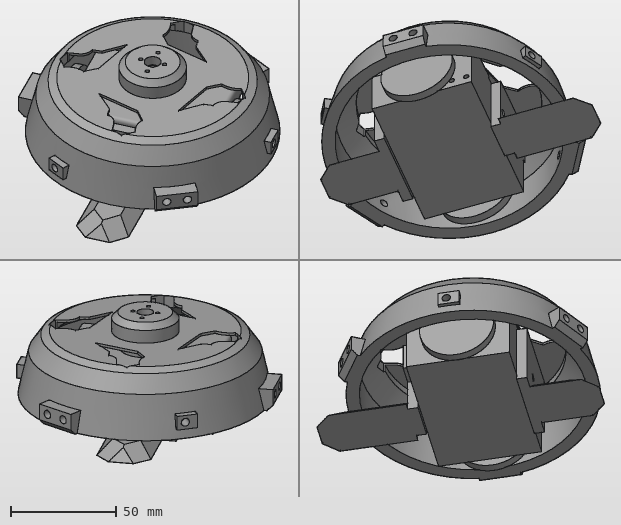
import cadquery as cq
import math


rim_radius, shoulder_radius, crown_radius, top_radius = 60.4, 55.4, 49.6, 45.5
shoulder_z, crown_z, shell_top_z = 21.7, 30.0, 32.0
mouth_radius, ceiling_radius = 108.0 / 2, 44.0
mouth_wall_top_z = 19.5
ceiling_wall_bottom_z = 27.0
ceiling_z = 30.7

hub_diameter = 32.0
hub_top_z = 41.5
hub_chamfer = 3.0
hub_bore = 8.0
bolt_hole = 2.0
bolt_offset_x, bolt_offset_y = 6.0, 7.6

tooth_root_radius = 46.0
tooth_hole = 4.0

big_tooth_angles = (60, 180, 300)
big_tooth_face = 64.0
big_tooth_width = 20.0
big_tooth_height = 11.0
big_tooth_chamfer = 3.0
big_tooth_hole_offset = 5.0
big_tooth_hole_z = 7.0

small_tooth_angles = (0, 120, 240)
small_tooth_face = 61.0
small_tooth_width = 10.2
small_tooth_shift = 1.0
small_tooth_bottom_z, small_tooth_top_z = 5.0, 12.0

motor_diameter = 24.0
motor_top_z = 36.5
shaft_diameter = 2.0
shaft_top_z = 39.5
shaft_chamfer = 0.6

chassis_half_depth = 25.0
box_left_x, box_right_x = -38.0, 35.0
box_bottom_z, box_top_z = -8.0, 15.0
lid_half_width = 36.5
lid_top_z = 23.0
lid_round = 2.0
lid_scoop_half_length = 13.6
side_hole = 2.5
side_hole_depth = 8.0
side_hole_z = -3.3
side_hole_ys = (-15.2, -22.4)

wheel_diameter = 36.0
wheel_width = 4.0
wheel_inner_x = 38.5
wheel_y, wheel_z = 1.0, 6.5
axle_diameter = 2.0
axle_inner_x = 30.0

fork_center_x = -1.2
fork_bottom_z = -11.0
foot_width, foot_tip_width = 26.3, 12.2
foot_height = 6.5
plate_thickness = 5.0
plate_top_z = 20.2
plate_hole = 3.5
plate_hole_offset = 6.0
plate_hole_z = 1.0
front_ear_reach = 20.0
front_ear_bottom_z = 6.0
front_plate_width, rear_plate_width = 19.4, 40.0
front_fork_tip, rear_fork_tip = 74.8, 62.1


def cylinder_along_x(diameter, start_x, end_x, y, z):
    """Solid cylinder parallel to X."""
    return (
        cq.Workplane("YZ", origin=(start_x, 0, 0))
        .center(y, z)
        .circle(diameter / 2)
        .extrude(end_x - start_x)
    )


def cylinder_along_z(diameter, bottom_z, top_z):
    """Solid cylinder on the spin axis."""
    return cq.Workplane("XY", origin=(0, 0, bottom_z)).circle(diameter / 2).extrude(top_z - bottom_z)


def box_between(x0, x1, y0, y1, z0, z1):
    """Box given by its limits along each axis."""
    return cq.Workplane("XY").box(x1 - x0, y1 - y0, z1 - z0, centered=False).translate((x0, y0, z0))


def make_big_tooth():
    """Impact tooth at angle zero, beveled along its lower outer edge."""
    return (
        cq.Workplane("XZ")
        .moveTo(tooth_root_radius, 0)
        .lineTo(big_tooth_face - big_tooth_chamfer, 0)
        .lineTo(big_tooth_face, big_tooth_chamfer)
        .lineTo(big_tooth_face, big_tooth_height)
        .lineTo(tooth_root_radius, big_tooth_height)
        .close()
        .extrude(big_tooth_width / 2, both=True)
    )


def make_small_tooth():
    """Counterweight tooth at angle zero, set slightly off its screw hole."""
    return box_between(
        tooth_root_radius,
        small_tooth_face,
        small_tooth_shift - small_tooth_width / 2,
        small_tooth_shift + small_tooth_width / 2,
        small_tooth_bottom_z,
        small_tooth_top_z,
    )


def make_window():
    """Jagged window through the shell top, cut on the +X side."""
    return (
        cq.Workplane("XY", origin=(0, 0, mouth_wall_top_z))
        .moveTo(20.0, -20.0)
        .lineTo(26.5, 1.8)
        .lineTo(32.5, 6.4)
        .threePointArc((37.0, 5.2), (42.3, 6.2))
        .lineTo(46.4, 0.8)
        .lineTo(44.5, -4.6)
        .lineTo(38.5, -5.8)
        .threePointArc((35.6, -7.7), (34.2, -10.7))
        .lineTo(29.6, -11.2)
        .close()
        .extrude(shell_top_z - mouth_wall_top_z)
    )


def make_shell():
    dome = (
        cq.Workplane("XZ")
        .polyline([
            (0, 0),
            (rim_radius, 0),
            (shoulder_radius, shoulder_z),
            (crown_radius, crown_z),
            (top_radius, shell_top_z),
            (0, shell_top_z),
        ])
        .close()
        .revolve(360, (0, 0, 0), (0, 1, 0))
    )
    hub = cylinder_along_z(hub_diameter, ceiling_z, hub_top_z).faces(">Z").chamfer(hub_chamfer)
    cavity = (
        cq.Workplane("XZ")
        .polyline([
            (0, 0),
            (mouth_radius, 0),
            (mouth_radius, mouth_wall_top_z),
            (ceiling_radius, ceiling_wall_bottom_z),
            (ceiling_radius, ceiling_z),
            (0, ceiling_z),
        ])
        .close()
        .revolve(360, (0, 0, 0), (0, 1, 0))
    )
    shell = dome.union(hub)

    for angle in big_tooth_angles:
        shell = shell.union(make_big_tooth().rotate((0, 0, 0), (0, 0, 1), angle))
    for angle in small_tooth_angles:
        shell = shell.union(make_small_tooth().rotate((0, 0, 0), (0, 0, 1), angle))
    shell = shell.cut(cavity)

    for angle in big_tooth_angles:
        for y in (-big_tooth_hole_offset, big_tooth_hole_offset):
            hole = cylinder_along_x(tooth_hole, tooth_root_radius, big_tooth_face, y, big_tooth_hole_z)
            shell = shell.cut(hole.rotate((0, 0, 0), (0, 0, 1), angle))
    small_tooth_hole_z = (small_tooth_bottom_z + small_tooth_top_z) / 2
    for angle in small_tooth_angles:
        hole = cylinder_along_x(tooth_hole, tooth_root_radius, small_tooth_face, 0, small_tooth_hole_z)
        shell = shell.cut(hole.rotate((0, 0, 0), (0, 0, 1), angle))

    for quarter in range(4):
        shell = shell.cut(make_window().rotate((0, 0, 0), (0, 0, 1), 90 * quarter))

    pocket = cylinder_along_z(motor_diameter, ceiling_z, motor_top_z)
    bore = cylinder_along_z(hub_bore, motor_top_z, hub_top_z)
    bolt_holes = (
        cq.Workplane("XY", origin=(0, 0, motor_top_z))
        .pushPoints([(bolt_offset_x, 0), (-bolt_offset_x, 0), (0, bolt_offset_y), (0, -bolt_offset_y)])
        .circle(bolt_hole / 2)
        .extrude(hub_top_z - motor_top_z)
    )
    return shell.cut(pocket).cut(bore).cut(bolt_holes)


def make_motor():
    """Motor can standing on the lid, with its shaft tip inside the hub bore."""
    can = cylinder_along_z(motor_diameter, lid_top_z, motor_top_z)
    shaft = cylinder_along_z(shaft_diameter, motor_top_z, shaft_top_z).faces(">Z").chamfer(shaft_chamfer)
    return can.union(shaft)


def make_edge_round(side):
    """Waste that rounds the middle of the lid edge on the -Y (side -1) or +Y (side +1) side."""
    edge_y = side * chassis_half_depth
    bar = box_between(
        -lid_scoop_half_length,
        lid_scoop_half_length,
        min(edge_y, edge_y - side * lid_round),
        max(edge_y, edge_y - side * lid_round),
        lid_top_z - lid_round,
        lid_top_z,
    )
    core = cylinder_along_x(
        2 * lid_round,
        -lid_scoop_half_length,
        lid_scoop_half_length,
        edge_y - side * lid_round,
        lid_top_z - lid_round,
    )
    return bar.cut(core)


def make_chassis():
    box = box_between(
        box_left_x, box_right_x, -chassis_half_depth, chassis_half_depth, box_bottom_z, box_top_z
    )
    lid = box_between(
        -lid_half_width, lid_half_width, -chassis_half_depth, chassis_half_depth, box_top_z, lid_top_z
    )
    lid = lid.edges("|Y and >Z").fillet(lid_round)
    for side in (-1, 1):
        lid = lid.cut(make_edge_round(side))
    chassis = box.union(lid)
    for y in side_hole_ys:
        chassis = chassis.cut(
            cylinder_along_x(side_hole, box_left_x, box_left_x + side_hole_depth, y, side_hole_z)
        )
    for side in (-1, 1):
        chassis = chassis.cut(make_axle(side))
    return chassis


def make_axle(side):
    return cylinder_along_x(axle_diameter, side * axle_inner_x, side * wheel_inner_x, wheel_y, wheel_z)


def make_wheel(side):
    """Wheel with its stub axle; side is -1 for -X and +1 for +X."""
    outer_x = wheel_inner_x + wheel_width
    tread = cylinder_along_x(wheel_diameter, side * wheel_inner_x, side * outer_x, wheel_y, wheel_z)
    return tread.union(make_axle(side))


def make_foot(tip_reach, root_y):
    """Wedge foot: 45 degree sides, beveled tip and two bottom corners sliced to a long slope."""
    half_width = foot_width / 2
    half_tip = foot_tip_width / 2
    corner_cut = half_width - half_tip
    foot_top_z = fork_bottom_z + foot_height

    side_profile = [
        (-half_width, fork_bottom_z),
        (half_width, fork_bottom_z),
        (half_width - foot_height, foot_top_z),
        (foot_height - half_width, foot_top_z),
    ]
    bar = cq.Workplane("XZ", origin=(0, root_y, 0)).polyline(side_profile).close().extrude(tip_reach + root_y)

    length_profile = [
        (root_y, fork_bottom_z),
        (-tip_reach, fork_bottom_z),
        (foot_height - tip_reach, foot_top_z),
        (root_y, foot_top_z),
    ]
    foot = bar.intersect(
        cq.Workplane("YZ").polyline(length_profile).close().extrude(half_width, both=True)
    )

    slope_run = (foot_height + corner_cut) / math.sqrt(2)
    reach = foot_width
    for side in (-1, 1):
        corner_plane = cq.Plane(
            origin=(side * half_width, corner_cut - tip_reach, fork_bottom_z),
            xDir=(side, -1, 0),
            normal=(-1, -side, 0),
        )
        away_from_foot = [(0, 0), (-slope_run, foot_height), (reach, foot_height), (reach, 0)]
        corner = cq.Workplane(corner_plane).polyline(away_from_foot).close().extrude(reach, both=True)
        foot = foot.cut(corner)
    return foot


def make_fork(tip_reach, plate_width):
    """Fork that points to -Y, centered on X = 0, with a plate at its root that bolts to the chassis."""
    plate_back = -chassis_half_depth
    plate_front = plate_back - plate_thickness
    plate = box_between(
        -plate_width / 2, plate_width / 2, plate_front, plate_back, fork_bottom_z, plate_top_z
    )
    holes = (
        cq.Workplane("XZ", origin=(0, plate_back, 0))
        .pushPoints([(-plate_hole_offset, plate_hole_z), (plate_hole_offset, plate_hole_z)])
        .circle(plate_hole / 2)
        .extrude(plate_thickness)
    )
    return plate.cut(holes).union(make_foot(tip_reach, plate_front))


shell = make_shell()
motor = make_motor()
chassis = make_chassis()
wheels = [make_wheel(side) for side in (-1, 1)]
front_ear = box_between(
    0,
    front_ear_reach,
    -chassis_half_depth - plate_thickness,
    -chassis_half_depth,
    front_ear_bottom_z,
    plate_top_z,
)
front_fork = make_fork(front_fork_tip, front_plate_width).union(front_ear).translate((fork_center_x, 0, 0))
rear_fork = (
    make_fork(rear_fork_tip, rear_plate_width)
    .rotate((0, 0, 0), (0, 0, 1), 180)
    .translate((fork_center_x, 0, 0))
)

result = cq.Compound.makeCompound([
    shell.val(),
    motor.val(),
    chassis.val(),
    *[wheel.val() for wheel in wheels],
    front_fork.val(),
    rear_fork.val(),
])